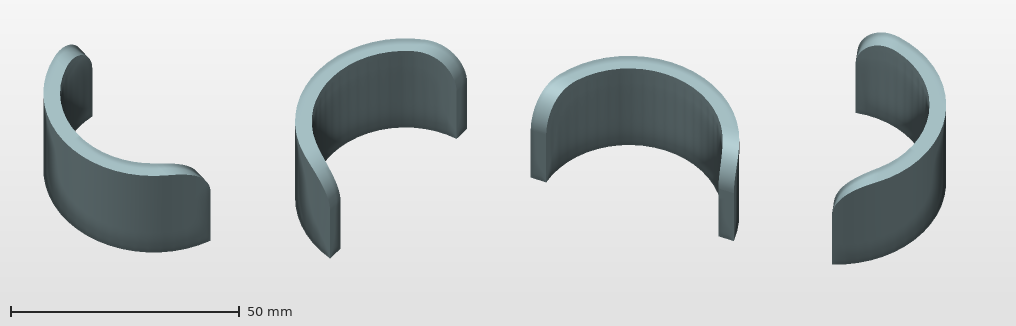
import cadquery as cq

width = 48.1
depth = 22.25
height = 25.4
wall = 3.65
corner_radius = 9.53

outer_radius = ((width / 2) ** 2 + depth ** 2) / (2 * depth)
inner_radius = outer_radius - wall
end_y = depth - outer_radius


def make_side_block():
    """Block that trims the tube at the end faces and rounds its upper edge."""
    block = cq.Workplane("XY").box(
        2 * outer_radius, depth, height, centered=(True, False, False)
    )
    block = block.translate((0, end_y - depth, 0))
    return block.edges(">Y and >Z").fillet(corner_radius)


tube = cq.Workplane("XY").circle(outer_radius).circle(inner_radius).extrude(height)
result = tube.intersect(make_side_block())